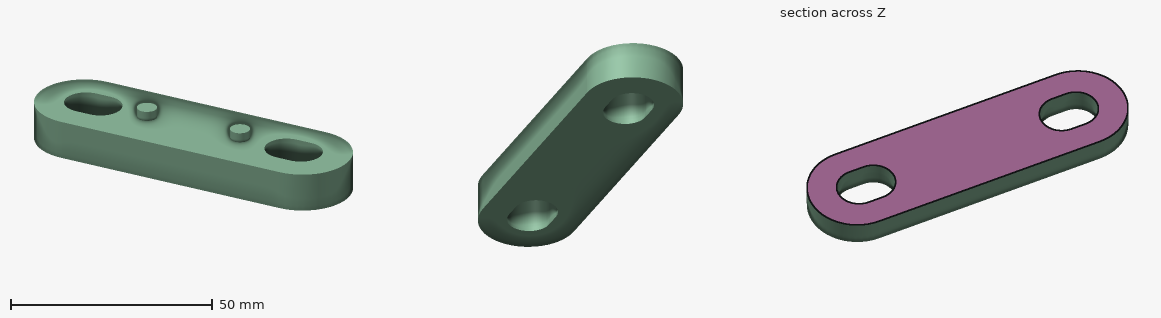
import cadquery as cq

plate_length = 86.0
plate_width = 25.0
plate_height = 10.0

slot_length = 15.0
slot_width = 11.0
slot_spacing = 56.0

pin_diameter = 5.1
pin_spacing = 26.0
overall_height = 12.5
pin_height = overall_height - plate_height


def mirrored_pair(spacing):
    """Two points on the X axis, centred on the plate."""
    return [(-spacing / 2, 0), (spacing / 2, 0)]


def make_plate():
    return cq.Workplane("XY").slot2D(plate_length, plate_width).extrude(plate_height)


def make_slots():
    return (
        cq.Workplane("XY")
        .pushPoints(mirrored_pair(slot_spacing))
        .slot2D(slot_length, slot_width)
        .extrude(plate_height)
    )


def make_pins():
    return (
        cq.Workplane("XY")
        .workplane(offset=plate_height)
        .pushPoints(mirrored_pair(pin_spacing))
        .circle(pin_diameter / 2)
        .extrude(pin_height)
    )


result = make_plate().cut(make_slots()).union(make_pins())